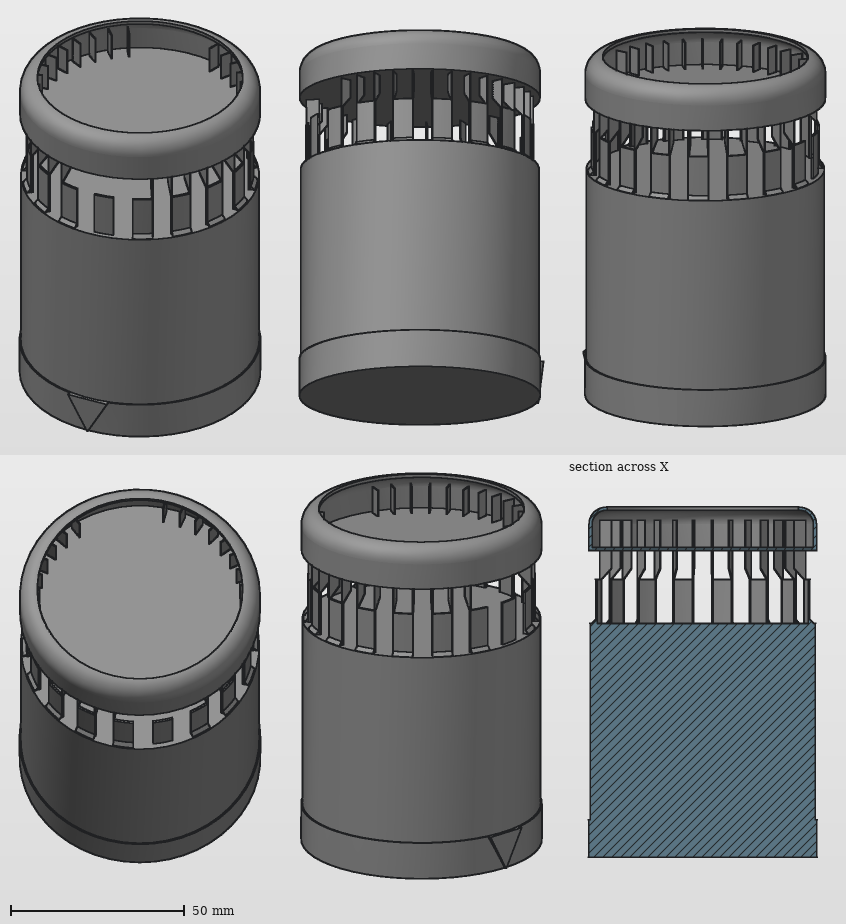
import cadquery as cq
import math

total_height = 101.0
base_height = 10.9
body_top = 67.4
panel_top = 80.1
cap_bottom = 88.4

base_radius = 34.7
body_radius = 34.3
cap_radius = 34.6

cap_wall = 1.0
cap_round = 5.0
cap_floor = 0.9
opening_radius = cap_radius - cap_round
cap_inner_radius = cap_radius - cap_wall
shoulder_height = total_height - cap_round

panel_count = 18
panel_pitch = 360 / panel_count
panel_angle = panel_pitch / 2
panel_radius = 32.8
panel_thickness = 0.6
foot_height = 1.1
foot_radius = 33.9

fin_thickness = 0.3
fin_inner_radius = 29.0
fin_slope_start = 83.2
fin_top = 97.2
fin_overlap = 0.1

pointer_angle = 6.8
pointer_distance = 35.2
pointer_width = 12.4
pointer_tip_width = 0.2
pointer_depth = 3.0


def cylinder(radius, bottom, top):
    return cq.Workplane("XY").workplane(offset=bottom).circle(radius).extrude(top - bottom)


def around_axis(shape, angle):
    return shape.rotate((0, 0, 0), (0, 0, 1), angle)


def make_cap():
    diagonal = math.sqrt(0.5)
    outer_round = cap_round * diagonal
    inner_round = (cap_round - cap_wall) * diagonal
    return (
        cq.Workplane("XZ")
        .moveTo(0, cap_bottom)
        .lineTo(cap_radius, cap_bottom)
        .lineTo(cap_radius, shoulder_height)
        .threePointArc(
            (opening_radius + outer_round, shoulder_height + outer_round),
            (opening_radius, total_height),
        )
        .lineTo(opening_radius, total_height - cap_wall)
        .threePointArc(
            (opening_radius + inner_round, shoulder_height + inner_round),
            (cap_inner_radius, shoulder_height),
        )
        .lineTo(cap_inner_radius, cap_bottom + cap_floor)
        .lineTo(0, cap_bottom + cap_floor)
        .close()
        .revolve(360, (0, 0, 0), (0, 1, 0))
    )


def make_panel(has_foot):
    """Curved panel centred on the +X direction, with an optional sloping foot."""
    inner_radius = panel_radius - panel_thickness
    profile = cq.Workplane("XZ").moveTo(inner_radius, body_top)
    if has_foot:
        profile = profile.lineTo(foot_radius, body_top).lineTo(panel_radius, body_top + foot_height)
    else:
        profile = profile.lineTo(panel_radius, body_top)
    panel = (
        profile.lineTo(panel_radius, panel_top)
        .lineTo(inner_radius, panel_top)
        .close()
        .revolve(panel_angle, (0, 0, 0), (0, 1, 0))
    )
    centre = panel.val().Center()
    return around_axis(panel, -math.degrees(math.atan2(centre.y, centre.x)))


def make_fin():
    """Thin radial fin in the +X direction, narrow beside a panel and wider above it."""
    outer_radius = panel_radius - fin_overlap
    narrow_radius = panel_radius - panel_thickness - fin_overlap
    return (
        cq.Workplane("XZ")
        .moveTo(outer_radius, body_top)
        .lineTo(outer_radius, fin_top)
        .lineTo(fin_inner_radius, fin_top)
        .lineTo(fin_inner_radius, fin_slope_start)
        .lineTo(narrow_radius, panel_top)
        .lineTo(narrow_radius, body_top)
        .close()
        .extrude(fin_thickness / 2, both=True)
    )


def make_pointer():
    """Downward triangle with a barely blunted tip and a flat face, tangent to the base ring."""
    half_width = pointer_width / 2
    half_tip = pointer_tip_width / 2
    outline = [
        (-half_tip, 0),
        (half_tip, 0),
        (half_width, base_height),
        (-half_width, base_height),
    ]
    pointer = (
        cq.Workplane("XZ", origin=(0, -pointer_distance, 0))
        .polyline(outline)
        .close()
        .extrude(-pointer_depth)
    )
    return around_axis(pointer, -pointer_angle)


result = cylinder(base_radius, 0, base_height)
result = result.union(cylinder(body_radius, base_height, body_top))
result = result.union(make_pointer())
result = result.union(make_cap())

half_count = panel_count // 2
for half_turn in (90, 270):
    result = result.union(around_axis(make_panel(False), half_turn))
    for step in range(1, half_count):
        result = result.union(around_axis(make_panel(True), half_turn + step * panel_pitch))

    for step in range(1, panel_count - 3):
        fin_direction = half_turn + panel_pitch + (step - 0.5) * panel_angle
        result = result.union(around_axis(make_fin(), fin_direction))